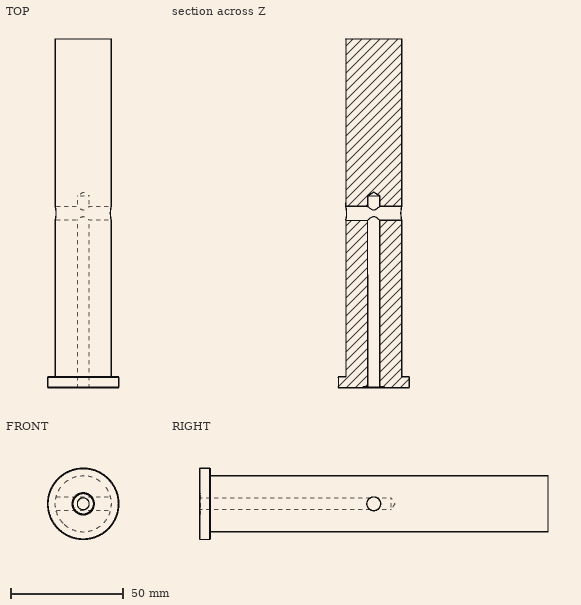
import cadquery as cq
import math

total_length = 155.0
shaft_diameter = 25.0
head_diameter = 31.8
head_thickness = 5.0
head_chamfer = 0.3

recess_diameter = 9.9
recess_floor_diameter = 9.0
recess_depth = 0.5
bore_diameter = 5.3
bore_past_cross_hole = 7.8
bore_depth = total_length / 2 + bore_past_cross_hole
drill_point_angle = 118.0

cross_hole_diameter = 6.0

head_face_y = -total_length / 2


def cylinder_along_y(diameter, length, start_y):
    """Solid cylinder on the pin axis, running from start_y toward +Y."""
    plane = cq.Workplane("XZ", origin=(0, start_y, 0))
    return plane.circle(diameter / 2).extrude(-length)


def make_pin():
    shaft = cylinder_along_y(shaft_diameter, total_length, head_face_y)
    head = cylinder_along_y(head_diameter, head_thickness, head_face_y)
    head = head.edges("%CIRCLE").chamfer(head_chamfer)
    return shaft.union(head)


def make_stepped_bore():
    """Shallow tapered recess, then a bore with a conical drill point."""
    bore_radius = bore_diameter / 2
    point_length = bore_radius / math.tan(math.radians(drill_point_angle / 2))
    bore_end_y = head_face_y + bore_depth
    profile = (
        cq.Workplane("XY")
        .moveTo(0, head_face_y)
        .lineTo(recess_diameter / 2, head_face_y)
        .lineTo(recess_floor_diameter / 2, head_face_y + recess_depth)
        .lineTo(bore_radius, head_face_y + recess_depth)
        .lineTo(bore_radius, bore_end_y)
        .lineTo(0, bore_end_y + point_length)
        .close()
    )
    return profile.revolve(360, (0, 0, 0), (0, 1, 0))


def make_cross_hole():
    hole = cq.Workplane("YZ").circle(cross_hole_diameter / 2)
    return hole.extrude(shaft_diameter, both=True)


result = make_pin().cut(make_stepped_bore()).cut(make_cross_hole())